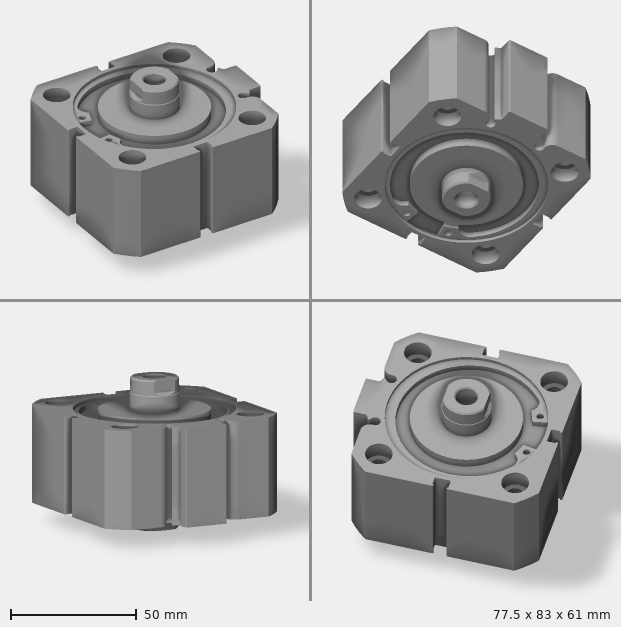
import cadquery as cq
import math


body_width = 77.5
half_width = body_width / 2
body_height = 40.0
corner_radius = 49.5
overall_depth = 83.0
tab_half_width = 9.3
tab_end = overall_depth - half_width
tab_edge_radius = 0.6

pocket_radius = 2.1
pocket_x = 11.7
pocket_y = 34.25
pocket_exit_angle = math.radians(57)
shoulder_radius = 3.8
barb_y = 37.2
barb_root_y = 38.65

slot_mouth = 5.5
slot_mouth_chamfer = 0.3
slot_width = 6.6
slot_lip = 0.9
slot_floor = 34.1
slot_corner = 0.4

hole_offset = 28.15
hole_diameter = 6.8
counterbore_diameter = 11.0
counterbore_depth = 7.0

bore_radius = 32.5
groove_radius = 33.85
ring_recess = 1.4
ring_thickness = 2.5
cover_recess = ring_recess + ring_thickness
cover_thickness = 8.0
boss_radius = 22.5

ring_inner_radius = 29.6
ring_inner_y = -1.4
lobe_start_angle = math.radians(41.1)
lobe_middle = (16.0, -25.4)
lug_tip = (12.0, -23.3)
lug_corner = (6.4, -25.4)
lug_side_slope = 0.2
lug_hole = (9.95, -27.65)
lug_hole_diameter = 3.0

rod_radius = 10.0
rod_end_radius = 9.75
rod_step = 0.25
rod_top = 53.0
rod_bottom = -8.0
rod_end_length = 6.5
rod_end_chamfer = 0.6
flat_half_width = 8.5
flat_length = 5.0
thread_diameter = 8.8
thread_mouth_diameter = 10.0
thread_depth = 15.0
drill_tip_angle = math.radians(118)


def other_end(shape):
    """Copy of a shape reflected to the opposite end of the housing."""
    return shape.mirror("XY", (0, 0, body_height / 2))


def tab_notch(side):
    """Hooked notch beside the tab; side is -1 or +1."""
    wall_x = pocket_x + pocket_radius
    shoulder_y = half_width - shoulder_radius
    shoulder_x = wall_x + shoulder_radius
    arc_share = shoulder_radius * math.sqrt(0.5)
    exit_x = pocket_x - pocket_radius * math.cos(pocket_exit_angle)
    exit_y = pocket_y + pocket_radius * math.sin(pocket_exit_angle)
    return (
        cq.Workplane("XY")
        .moveTo(side * shoulder_x, half_width)
        .threePointArc((side * (shoulder_x - arc_share), shoulder_y + arc_share), (side * wall_x, shoulder_y))
        .lineTo(side * wall_x, pocket_y)
        .threePointArc((side * pocket_x, pocket_y - pocket_radius), (side * exit_x, exit_y))
        .lineTo(side * pocket_x, barb_y)
        .lineTo(side * tab_half_width, barb_root_y)
        .lineTo(side * tab_half_width, half_width)
        .close()
        .extrude(body_height)
    )


def switch_slot(angle):
    """T-shaped slot along Z in the side that faces the given angle."""
    lip_inner = half_width - slot_lip
    channel = (
        cq.Workplane("XY")
        .rect(lip_inner - slot_floor, slot_width)
        .extrude(body_height)
        .edges("|Z and <X")
        .fillet(slot_corner)
        .translate(((lip_inner + slot_floor) / 2, 0, 0))
    )
    half_mouth = slot_mouth / 2
    mouth = (
        cq.Workplane("XY")
        .moveTo(lip_inner, -half_mouth)
        .lineTo(half_width - slot_mouth_chamfer, -half_mouth)
        .lineTo(half_width, -half_mouth - slot_mouth_chamfer)
        .lineTo(half_width, half_mouth + slot_mouth_chamfer)
        .lineTo(half_width - slot_mouth_chamfer, half_mouth)
        .lineTo(lip_inner, half_mouth)
        .close()
        .extrude(body_height)
    )
    return channel.union(mouth).rotate((0, 0, 0), (0, 0, 1), angle)


def mounting_holes():
    """Four through holes, counterbored from both end faces."""
    centres = cq.Workplane("XY").rect(2 * hole_offset, 2 * hole_offset, forConstruction=True).vertices()
    through = centres.circle(hole_diameter / 2).extrude(body_height)
    lower = centres.circle(counterbore_diameter / 2).extrude(counterbore_depth)
    return through.union(lower).union(other_end(lower))


def make_housing():
    block = cq.Workplane("XY").rect(body_width, body_width).extrude(body_height)
    block = block.intersect(cq.Workplane("XY").circle(corner_radius).extrude(body_height))
    tab = cq.Workplane("XY").rect(2 * tab_half_width, 2 * tab_end).extrude(body_height)
    rear_half = cq.Workplane("XY").center(0, half_width).rect(body_width, body_width).extrude(body_height)
    tab = tab.intersect(rear_half)
    tab = tab.edges("|Z and >Y").fillet(tab_edge_radius)
    block = block.union(tab)
    for side in (-1, 1):
        block = block.cut(tab_notch(side))
    for angle in (0, 180, 270):
        block = block.cut(switch_slot(angle))
    block = block.cut(mounting_holes())

    bore = cq.Workplane("XY").circle(bore_radius).extrude(body_height)
    groove = cq.Workplane("XY").workplane(offset=ring_recess).circle(groove_radius).extrude(ring_thickness)
    return block.cut(bore).cut(groove).cut(other_end(groove))


def make_lower_cover():
    """End cover with a boss flush with the housing face and a hole for the rod."""
    disc = cq.Workplane("XY").workplane(offset=cover_recess).circle(bore_radius).extrude(cover_thickness)
    boss = cq.Workplane("XY").circle(boss_radius).extrude(cover_recess)
    rod_hole = cq.Workplane("XY").circle(rod_radius).extrude(cover_recess + cover_thickness)
    return disc.union(boss).cut(rod_hole)


def make_lower_ring():
    """Internal retaining ring with two drilled lugs at its gap on the -Y side."""
    lobe_x = ring_inner_radius * math.sin(lobe_start_angle)
    lobe_y = ring_inner_y - ring_inner_radius * math.cos(lobe_start_angle)
    gap_end_x = lug_corner[0] + lug_side_slope * (groove_radius + lug_corner[1])
    opening = (
        cq.Workplane("XY")
        .workplane(offset=ring_recess)
        .moveTo(lobe_x, lobe_y)
        .threePointArc((0, ring_inner_y + ring_inner_radius), (-lobe_x, lobe_y))
        .threePointArc((-lobe_middle[0], lobe_middle[1]), (-lug_tip[0], lug_tip[1]))
        .lineTo(-lug_corner[0], lug_corner[1])
        .lineTo(-gap_end_x, -groove_radius)
        .lineTo(gap_end_x, -groove_radius)
        .lineTo(*lug_corner)
        .lineTo(*lug_tip)
        .threePointArc(lobe_middle, (lobe_x, lobe_y))
        .close()
        .extrude(ring_thickness)
    )
    lug_holes = (
        cq.Workplane("XY")
        .workplane(offset=ring_recess)
        .pushPoints([lug_hole, (-lug_hole[0], lug_hole[1])])
        .circle(lug_hole_diameter / 2)
        .extrude(ring_thickness)
    )
    ring = cq.Workplane("XY").workplane(offset=ring_recess).circle(groove_radius).extrude(ring_thickness)
    return ring.cut(opening).cut(lug_holes)


def rod_end_cuts():
    """Material removed at a rod end; the end face is at z = 0 and the rod runs to -Z."""
    slope_run = rod_radius - flat_half_width
    flat = (
        cq.Workplane("YZ")
        .moveTo(flat_half_width, 0)
        .lineTo(flat_half_width, -flat_length)
        .lineTo(rod_radius, -flat_length - slope_run)
        .lineTo(rod_radius, 0)
        .close()
        .extrude(rod_radius, both=True)
    )
    thread_radius = thread_diameter / 2
    mouth_radius = thread_mouth_diameter / 2
    drill_tip = thread_depth + thread_radius / math.tan(drill_tip_angle / 2)
    hole = (
        cq.Workplane("XZ")
        .moveTo(0, 0)
        .lineTo(mouth_radius, 0)
        .lineTo(thread_radius, thread_radius - mouth_radius)
        .lineTo(thread_radius, -thread_depth)
        .lineTo(0, -drill_tip)
        .close()
        .revolve(360, (0, 0, 0), (0, 1, 0))
    )
    return flat.union(flat.mirror("XZ")).union(hole)


def make_rod():
    face_radius = rod_end_radius - rod_end_chamfer
    top_step = rod_top - rod_end_length
    bottom_step = rod_bottom + rod_end_length
    rod = (
        cq.Workplane("XZ")
        .moveTo(0, rod_bottom)
        .lineTo(face_radius, rod_bottom)
        .lineTo(rod_end_radius, rod_bottom + rod_end_chamfer)
        .lineTo(rod_end_radius, bottom_step - rod_step)
        .lineTo(rod_radius, bottom_step)
        .lineTo(rod_radius, top_step)
        .lineTo(rod_end_radius, top_step + rod_step)
        .lineTo(rod_end_radius, rod_top - rod_end_chamfer)
        .lineTo(face_radius, rod_top)
        .lineTo(0, rod_top)
        .close()
        .revolve(360, (0, 0, 0), (0, 1, 0))
    )
    cuts = rod_end_cuts()
    rod = rod.cut(cuts.translate((0, 0, rod_top)))
    return rod.cut(cuts.mirror("XY").translate((0, 0, rod_bottom)))


housing = make_housing()
lower_cover = make_lower_cover()
upper_cover = other_end(lower_cover)
lower_ring = make_lower_ring()
upper_ring = other_end(lower_ring)
rod = make_rod()

result = cq.Compound.makeCompound([
    housing.val(),
    lower_cover.val(),
    upper_cover.val(),
    lower_ring.val(),
    upper_ring.val(),
    rod.val(),
])